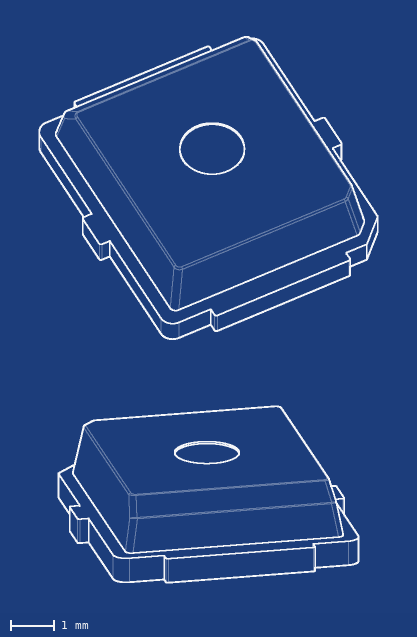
import cadquery as cq
import math

overall_length = 7.08
overall_width = 6.35
overall_height = 1.83
plate_length = 6.61
plate_width = 5.84
plate_height = 0.595
plate_corner_radius = 0.31
plate_key_chamfer = 0.6
end_tab_width = 3.55
side_tab_width = 0.9
tab_edge_radius = 0.05

cover_length = 5.96
cover_width = 5.19
cover_height = overall_height - plate_height
draft_angle = 10.0
bevel_top_setback = 0.565
cover_key_chamfer = 0.3
cover_corner_radius = 0.15
soft_edge_radius = 0.05

recess_diameter = 1.5
recess_depth = 0.05


def make_plate():
    """Plate with three round corners and a chamfered +X+Y corner."""
    plate = cq.Workplane("XY").box(
        plate_length, plate_width, plate_height, centered=(True, True, False)
    )
    plate = plate.edges("|Z and (>X and >Y)").chamfer(plate_key_chamfer)
    return plate.edges("|Z and (<X or <Y)").fillet(plate_corner_radius)


def make_tab_bar(length, width):
    """Bar through the plate whose two ends form opposite tabs."""
    bar = cq.Workplane("XY").box(length, width, plate_height, centered=(True, True, False))
    return bar.edges("|Z").fillet(tab_edge_radius)


def make_cover():
    """Drafted block with a 45 degree bevel along -X, a key chamfer and soft edges."""
    cover = (
        cq.Workplane("XY")
        .workplane(offset=plate_height)
        .rect(cover_length, cover_width)
        .extrude(cover_height, taper=draft_angle)
    )

    inset_at_mid_height = cover_height / 2 * math.tan(math.radians(draft_angle))
    key_corner = (
        cover_length / 2 - inset_at_mid_height,
        cover_width / 2 - inset_at_mid_height,
        plate_height + cover_height / 2,
    )
    cover = cover.edges(cq.selectors.NearestToPointSelector(key_corner)).chamfer(cover_key_chamfer)

    foot_x = -cover_length / 2
    bevel_waste = (
        cq.Workplane("XZ")
        .moveTo(foot_x, overall_height)
        .lineTo(foot_x + bevel_top_setback, overall_height)
        .lineTo(foot_x, overall_height - bevel_top_setback)
        .close()
        .extrude(cover_width / 2, both=True)
    )
    cover = cover.cut(bevel_waste)

    cover = cover.edges("not(#Z)").fillet(cover_corner_radius)
    bevel_foot_edges = cover.faces("<X").edges(">Z")
    cover = cover.newObject(bevel_foot_edges.vals()).fillet(soft_edge_radius)
    return cover.faces(">Z").edges().fillet(soft_edge_radius)


def make_recess():
    """Cylinder that sinks the round mark into the top of the cover."""
    return (
        cq.Workplane("XY")
        .workplane(offset=overall_height - recess_depth)
        .circle(recess_diameter / 2)
        .extrude(recess_depth)
    )


result = (
    make_plate()
    .union(make_tab_bar(overall_length, end_tab_width))
    .union(make_tab_bar(side_tab_width, overall_width))
    .union(make_cover())
    .cut(make_recess())
)